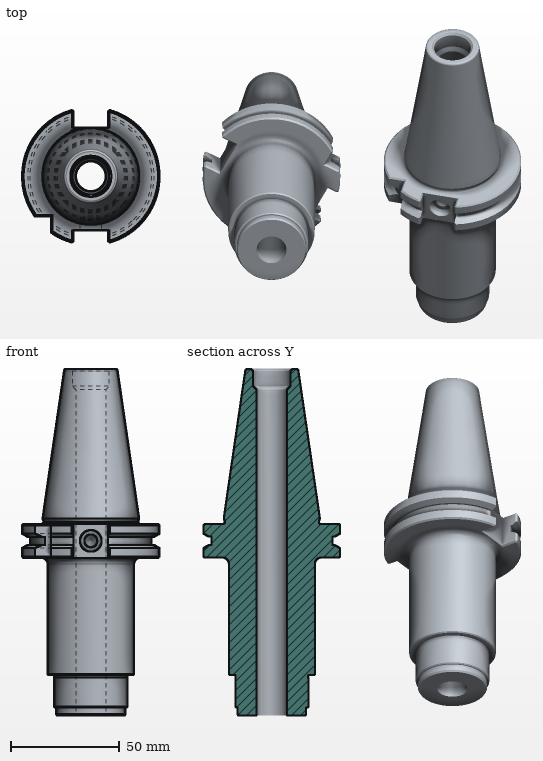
import cadquery as cq
import math


gauge_diameter = 44.45
taper_length = 68.4
taper_ratio = 7 / 24
tip_fillet = 1.0
taper_end_z = -0.7

neck_radius = 21.8
neck_start_z = -2.2

flange_radius = 63.55 / 2
flange_top_z = -3.2
flange_bottom_z = -18.85
flange_height = flange_top_z - flange_bottom_z
flange_mid_z = (flange_top_z + flange_bottom_z) / 2
flange_chamfer = 0.7

groove_root_radius = 56.25 / 2
groove_root_width = 3.75
groove_mouth_width = 6.75
groove_flank_angle = 30

slot_width = 16.1
front_slot_floor = 25.0
back_slot_floor = 22.5
slot_mouth_chamfer = 0.85
notch_x = -18.5
notch_y = -18.5

chip_hole_diameter = 10.0
chip_hole_depth = 4.6
pilot_diameter = 6.0
pilot_depth = 2.0
drill_point_angle = 118

shank_radius = 40 / 2
shank_fillet = 2.8
shank_end_z = -73.0
shank_chamfer = 0.5
relief_radius = 16.8
collar_radius = 34 / 2
collar_start_z = -74.2
collar_end_z = -88.0
collar_chamfer = 0.5
nose_radius = 32 / 2
nose_end_z = -91.75
nose_chamfer_height = 0.85
nose_chamfer_width = 0.5

bore_radius = 13.84 / 2
counterbore_radius = 17 / 2
counterbore_depth = 8.0
mouth_radius = 19 / 2

clearance = 1.0
outer_reach = flange_radius + clearance


def taper_radius(z):
    return (gauge_diameter - z * taper_ratio) / 2


def revolve_profile(points):
    """Solid of revolution about Z from a closed outline of (radius, z) points."""
    return cq.Workplane("XZ").polyline(points).close().revolve(360, (0, 0, 0), (0, 1, 0))


def make_body():
    """Taper, neck, shank and nose as one turned body, without the flange."""
    neck_fillet = neck_start_z - flange_top_z
    arc_45 = math.sqrt(0.5)
    outline = (
        cq.Workplane("XZ")
        .moveTo(0, taper_length)
        .lineTo(taper_radius(taper_length), taper_length)
        .lineTo(taper_radius(taper_end_z), taper_end_z)
        .lineTo(neck_radius, neck_start_z)
        .threePointArc(
            (neck_radius + neck_fillet * (1 - arc_45), neck_start_z - neck_fillet * arc_45),
            (neck_radius + neck_fillet, flange_top_z),
        )
        .lineTo(shank_radius + shank_fillet, flange_bottom_z)
        .threePointArc(
            (
                shank_radius + shank_fillet * (1 - arc_45),
                flange_bottom_z - shank_fillet * (1 - arc_45),
            ),
            (shank_radius, flange_bottom_z - shank_fillet),
        )
        .lineTo(shank_radius, shank_end_z + shank_chamfer)
        .lineTo(shank_radius - shank_chamfer, shank_end_z)
        .lineTo(collar_radius, shank_end_z)
        .lineTo(relief_radius, collar_start_z)
        .lineTo(collar_radius, collar_start_z)
        .lineTo(collar_radius, collar_end_z + collar_chamfer)
        .lineTo(collar_radius - collar_chamfer, collar_end_z)
        .lineTo(nose_radius, collar_end_z)
        .lineTo(nose_radius, nose_end_z + nose_chamfer_height)
        .lineTo(nose_radius - nose_chamfer_width, nose_end_z)
        .lineTo(0, nose_end_z)
        .close()
    )
    body = outline.revolve(360, (0, 0, 0), (0, 1, 0))
    return body.faces(">Z").edges().fillet(tip_fillet).cut(make_slots())


def make_block(x_min, x_max, y_min, y_max):
    """Block that passes the flange and the fillets on both of its sides."""
    z_min = flange_bottom_z - shank_fillet
    size = (x_max - x_min, y_max - y_min, neck_start_z - z_min)
    return cq.Workplane("XY").box(*size, centered=False).translate((x_min, y_min, z_min))


def make_slots():
    """Cutter for the two opposite driving slots."""
    half_slot = slot_width / 2
    front = make_block(-half_slot, half_slot, -outer_reach, -front_slot_floor)
    back = make_block(-half_slot, half_slot, back_slot_floor, outer_reach)
    return front.add(back).combine()


def make_groove():
    """Ring with sloping flanks and a straight-sided root, to be cut from the flange."""
    half_root = groove_root_width / 2
    half_mouth = groove_mouth_width / 2
    slope = math.tan(math.radians(groove_flank_angle))
    step_radius = flange_radius - (half_mouth - half_root) / slope
    half_outside = half_mouth + clearance * slope
    upper = [
        (groove_root_radius, half_root),
        (step_radius, half_root),
        (flange_radius + clearance, half_outside),
    ]
    lower = [(radius, -z) for radius, z in reversed(upper)]
    return revolve_profile(upper + lower).translate((0, 0, flange_mid_z))


def make_flange():
    """Flange with two driving slots, a corner notch, chamfered rims and a V groove."""
    half_slot = slot_width / 2
    flange = cq.Workplane("XY").workplane(offset=flange_bottom_z).circle(flange_radius).extrude(flange_height)
    flange = flange.cut(make_slots())
    flange = flange.cut(make_block(-outer_reach, notch_x, -outer_reach, notch_y))

    mouth_y = math.sqrt(flange_radius**2 - half_slot**2)
    for x in (-half_slot, half_slot):
        for y in (-mouth_y, mouth_y):
            corner = cq.selectors.NearestToPointSelector((x, y, flange_mid_z))
            flange = flange.edges("|Z").edges(corner).chamfer(slot_mouth_chamfer)

    rims = flange.faces("<Z or >Z").edges()
    floor_rims = cq.selectors.BoxSelector(
        (-half_slot / 2, -outer_reach, flange_bottom_z - clearance),
        (half_slot / 2, outer_reach, flange_top_z + clearance),
    )
    chamfered_rims = rims.edges(cq.selectors.InverseSelector(floor_rims))
    flange = chamfered_rims.chamfer(flange_chamfer)
    return flange.cut(make_groove())


def make_bore():
    """Through bore with a cone-bottomed counterbore and a chamfered mouth at the taper tip."""
    floor_z = taper_length - counterbore_depth
    mouth_chamfer = mouth_radius - counterbore_radius
    return revolve_profile([
        (0, taper_length),
        (mouth_radius, taper_length),
        (counterbore_radius, taper_length - mouth_chamfer),
        (counterbore_radius, floor_z),
        (bore_radius, floor_z - (counterbore_radius - bore_radius)),
        (bore_radius, nose_end_z),
        (0, nose_end_z),
    ])


def make_chip_hole():
    """Stepped blind hole with a drill point, entering the front slot floor along +Y."""
    hole_radius = chip_hole_diameter / 2
    pilot_radius = pilot_diameter / 2
    pilot_end = chip_hole_depth + pilot_depth
    point_length = pilot_radius / math.tan(math.radians(drill_point_angle / 2))
    hole = revolve_profile([
        (0, 0),
        (hole_radius, 0),
        (hole_radius, -chip_hole_depth),
        (pilot_radius, -chip_hole_depth),
        (pilot_radius, -pilot_end),
        (0, -pilot_end - point_length),
    ])
    hole = hole.rotate((0, 0, 0), (1, 0, 0), 90)
    return hole.translate((0, -front_slot_floor, flange_mid_z))


result = make_body().union(make_flange()).cut(make_bore()).cut(make_chip_hole())